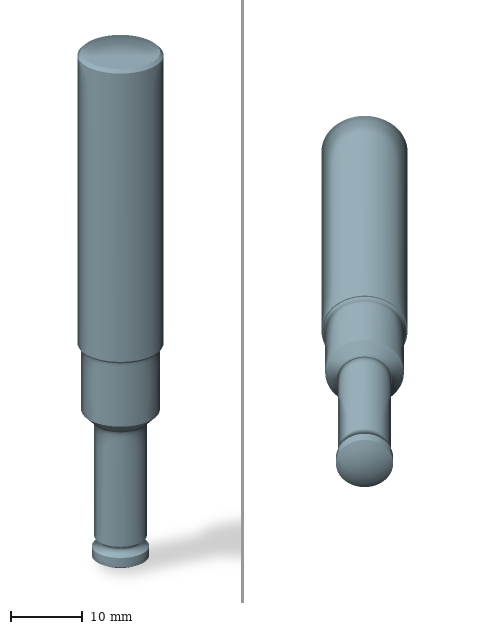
import cadquery as cq

total_height = 79.0
housing_radius = 12.0 / 2
nose_radius = 11.0 / 2
housing_chamfer = 0.5
nose_top_z = 33.5
shoulder_z = 34.0
nose_root_flare = 0.3
nose_root_radius = nose_radius + nose_root_flare
cone_top_z = 23.7

ring_top_z = 23.0
ring_bottom_z = 22.05
ring_top_radius = nose_radius - (cone_top_z - ring_top_z)
ring_bottom_radius = nose_radius - (cone_top_z - ring_bottom_z)

shank_radius = 7.35 / 2
neck_radius = 5.6 / 2
head_radius = 8.0 / 2
shank_top_z = nose_top_z
shank_bottom_z = 4.3
neck_top_z = 3.9
neck_bottom_z = 3.5
head_top_z = 2.7
dome_height = 1.2
dome_sphere_radius = (head_radius**2 + dome_height**2) / (2 * dome_height)
dome_mid_radius = head_radius / 2
dome_mid_z = dome_sphere_radius - (dome_sphere_radius**2 - dome_mid_radius**2) ** 0.5


def revolve_about_z(profile):
    """Turn a closed profile, drawn as radius and height, about the Z axis."""
    return profile.close().revolve(360, (0, 0, 0), (0, 1, 0))


def make_housing():
    """Chamfered cylinder, flat shoulder and tapered nose root, with a blind bore for the shank."""
    profile = (
        cq.Workplane("XZ")
        .moveTo(0, total_height)
        .lineTo(housing_radius - housing_chamfer, total_height)
        .lineTo(housing_radius, total_height - housing_chamfer)
        .lineTo(housing_radius, shoulder_z)
        .lineTo(nose_root_radius, shoulder_z)
        .lineTo(nose_radius, nose_top_z)
        .lineTo(nose_radius, cone_top_z)
        .lineTo(ring_top_radius, ring_top_z)
        .lineTo(shank_radius, ring_top_z)
        .lineTo(shank_radius, shank_top_z)
        .lineTo(0, shank_top_z)
    )
    return revolve_about_z(profile)


def make_end_ring():
    """Conical ring around the shank, flush with the nose cone."""
    profile = (
        cq.Workplane("XZ")
        .moveTo(shank_radius, ring_top_z)
        .lineTo(ring_top_radius, ring_top_z)
        .lineTo(ring_bottom_radius, ring_bottom_z)
        .lineTo(shank_radius, ring_bottom_z)
    )
    return revolve_about_z(profile)


def make_plunger():
    """Shank, conical-sided neck groove and head with a spherical end."""
    profile = (
        cq.Workplane("XZ")
        .moveTo(0, shank_top_z)
        .lineTo(shank_radius, shank_top_z)
        .lineTo(shank_radius, shank_bottom_z)
        .lineTo(neck_radius, neck_top_z)
        .lineTo(neck_radius, neck_bottom_z)
        .lineTo(head_radius, head_top_z)
        .lineTo(head_radius, dome_height)
        .threePointArc((dome_mid_radius, dome_mid_z), (0, 0))
    )
    return revolve_about_z(profile)


housing = make_housing()
end_ring = make_end_ring()
plunger = make_plunger()

result = cq.Compound.makeCompound([housing.val(), end_ring.val(), plunger.val()])